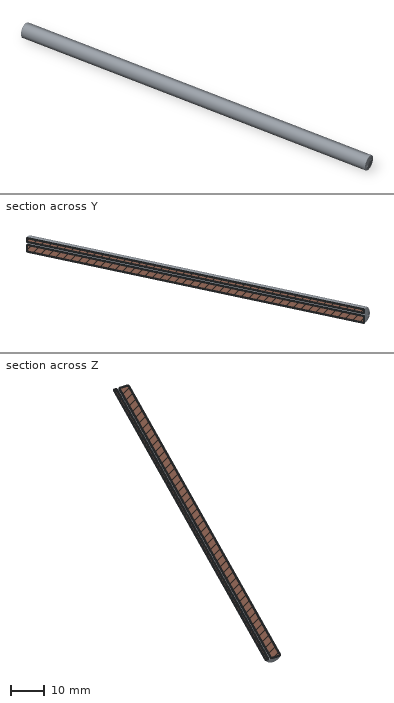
import cadquery as cq

rod_length = 120.0
rod_diameter = 5.0
end_chamfer = 0.25
channel_diameter = 0.75
channel_pitch_diameter = 2.4
channel_angle = 24.0
channel_count = 2
full_turn = 360.0


def make_rod():
    """Solid rod centred on the X axis, chamfered at X = 0."""
    rod = cq.Workplane("YZ").circle(rod_diameter / 2).extrude(rod_length)
    return rod.faces("<X").chamfer(end_chamfer)


def make_channels():
    """Straight channels evenly spaced around the rod axis."""
    return (
        cq.Workplane("YZ")
        .polarArray(channel_pitch_diameter / 2, channel_angle, full_turn, channel_count)
        .circle(channel_diameter / 2)
        .extrude(rod_length)
    )


result = make_rod().cut(make_channels())